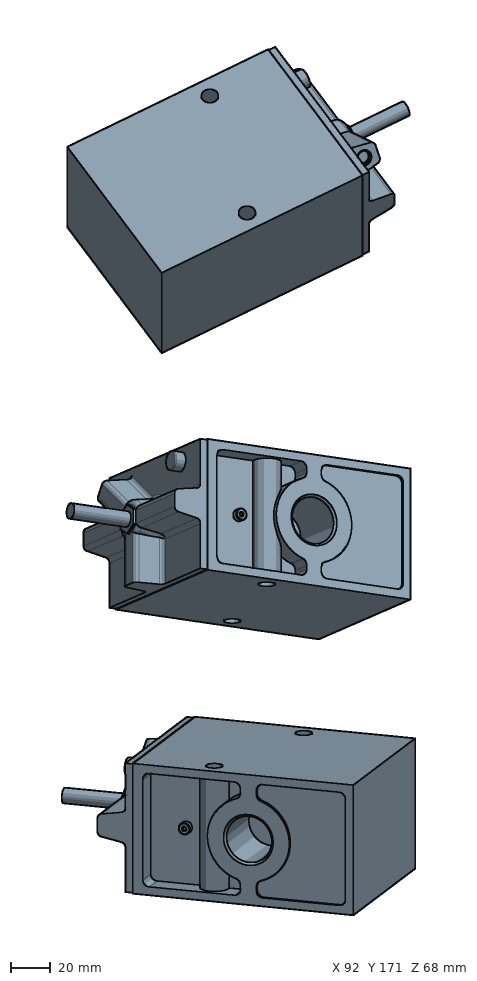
import cadquery as cq
import math

body_width = 92.0
body_height = 68.0
body_depth = 118.0
total_length = 171.0
side_x = -body_width / 2

cover_inset = 0.3
cover_width = body_width - 2 * cover_inset
cover_height = body_height - 2 * cover_inset
cover_thickness = 4.0
cover_back = body_depth + cover_thickness
rib_height = 15.0
rib_top = cover_back + rib_height
rib_base_half = 8.2
hub_base_radius = 12.7
rib_draft = 10.0
rib_fillet = 2.5
diagonal_angle = math.degrees(math.atan2(body_height, body_width))
diagonal_length = 36.3

rib_hole_diameter = 6.7
rib_hole_depth = 2.2
rib_hole_chamfer = 0.7
rib_hole_y = 129.1

cable_diameter = 8.0
gland_sides = 6
gland_flats = 13.2
gland_thickness = 1.2
screw_diameter = 10.0
screw_height = 6.0
screw_edge = 0.5
screw_offset = 26.0

mount_diameter = 8.5
mount_offset = 36.0
mount_rear_y = 77.8

bore_y = 56.1
bore_diameter = 24.1
bore_depth = 34.2
bore_chamfer = 1.2
ring_diameter = 43.8

recess_half_height = 29.5
recess_front = 4.3
recess_rear = 112.5
recess_corner = 3.5
rear_recess_depth = 11.6
front_recess_depth = 1.5
web_width = 8.5
column_diameter = 14.5

pin_diameter = 6.2
pin_height = 3.5
pin_chamfer = 0.3
pin_hole_diameter = 2.4
pin_hole_depth = 1.7
pin_y = 93.4


def cylinder(origin, direction, diameter, length):
    """Cylinder that starts at origin and runs along direction."""
    solid = cq.Solid.makeCylinder(diameter / 2, length, cq.Vector(*origin), cq.Vector(*direction))
    return cq.Workplane(solid)


def chamfered_hole(origin, direction, diameter, depth, chamfer):
    """Cutter for a blind hole whose rim widens by the chamfer."""
    radius = diameter / 2
    rim = cq.Solid.makeCone(radius + chamfer, radius, chamfer, cq.Vector(*origin), cq.Vector(*direction))
    return cylinder(origin, direction, diameter, depth).union(cq.Workplane(rim))


def recess(y_start, y_end, depth):
    """Rounded recess in the side face that leaves the ring and its web standing."""
    height = 2 * recess_half_height
    block = cq.Workplane("XY").box(depth, y_end - y_start, height)
    block = block.translate((side_x + depth / 2, (y_start + y_end) / 2, 0))
    ring = cylinder((side_x, bore_y, 0), (1, 0, 0), ring_diameter, depth)
    return block.cut(ring).edges("|X").fillet(recess_corner)


def column():
    """Round-nosed column in the rear recess, flat-sided back to the floor, around a mounting hole."""
    base = (-mount_offset, mount_rear_y, -body_height / 2)
    nose = cylinder(base, (0, 0, 1), column_diameter, body_height)
    shank = cq.Workplane("XY").box(column_diameter / 2, column_diameter, body_height)
    return nose.union(shank.translate((-mount_offset + column_diameter / 4, mount_rear_y, 0)))


corner_margin = 0.2


def rib_section(base_half):
    """Drafted rib section in the YZ plane with rounded top and foot corners, its foot sunk in the plate."""
    top_half = base_half - rib_height * math.tan(math.radians(rib_draft))
    foot_half = base_half + 2 * rib_fillet
    foot_y = cover_back - cover_thickness / 2
    upper = [(foot_y, foot_half), (cover_back, foot_half), (cover_back, base_half), (rib_top, top_half)]
    lower = [(y, -z) for y, z in reversed(upper)]
    outline = upper + lower
    section = cq.Sketch().polygon(outline + outline[:1])
    corners = cq.selectors.BoxSelector(
        (cover_back - corner_margin, -base_half - corner_margin, -corner_margin),
        (rib_top + corner_margin, base_half + corner_margin, corner_margin),
    )
    return section.vertices(corners).fillet(rib_fillet)


def rib(length, elevation):
    """Straight rib running outwards from the cable axis, elevation measured from +X towards +Z."""
    bar = cq.Workplane("YZ").placeSketch(rib_section(rib_base_half)).extrude(length)
    return bar.rotate((0, 0, 0), (0, 1, 0), -elevation)


def hub():
    """Conical hub around the cable axis that joins the ribs."""
    size = 4 * hub_base_radius
    profile = rib_section(hub_base_radius).reset()
    profile = profile.push([(cover_back, size / 2)]).rect(size, size, mode="i").reset()
    return cq.Workplane("YZ").placeSketch(profile).revolve(360, (0, 0, 0), (1, 0, 0))


def cover():
    """Rear plate with hub, three ribs out to its edges and one short diagonal rib."""
    plate = cq.Workplane("XY").box(cover_width, cover_thickness, cover_height)
    plate = plate.translate((0, body_depth + cover_thickness / 2, 0)).union(hub())
    for length, elevation in (
        (cover_width / 2, 0),
        (diagonal_length, diagonal_angle),
        (cover_width / 2, 180),
        (cover_height / 2, -90),
    ):
        plate = plate.union(rib(length, elevation))
    return plate


def diagonal_rib_hole():
    """Chamfered blind hole in the end face of the diagonal rib."""
    start = (diagonal_length, rib_hole_y, 0)
    hole = chamfered_hole(start, (-1, 0, 0), rib_hole_diameter, rib_hole_depth, rib_hole_chamfer)
    return hole.rotate((0, 0, 0), (0, 1, 0), -diagonal_angle)


def cable():
    """Cable leaving the hub through a hexagonal gland with corners at top and bottom."""
    corner_diameter = gland_flats / math.cos(math.pi / gland_sides)
    gland = cq.Workplane("XZ").polygon(gland_sides, corner_diameter).extrude(-gland_thickness)
    gland = gland.rotate((0, 0, 0), (0, 1, 0), 90).translate((0, rib_top, 0))
    return gland.union(cylinder((0, rib_top, 0), (0, 1, 0), cable_diameter, total_length - rib_top))


def screw():
    """Screw head in the upper left corner of the cover."""
    head = cylinder((-screw_offset, cover_back, screw_offset), (0, 1, 0), screw_diameter, screw_height)
    return head.edges(">Y").fillet(screw_edge)


def pin():
    """Hollow indicator pin standing on the floor of the rear recess."""
    floor_x = side_x + rear_recess_depth
    post = cylinder((floor_x, pin_y, 0), (-1, 0, 0), pin_diameter, pin_height)
    post = post.faces("<X").edges().chamfer(pin_chamfer)
    tip_x = floor_x - pin_height
    return post.cut(cylinder((tip_x, pin_y, 0), (1, 0, 0), pin_hole_diameter, pin_hole_depth))


body = cq.Workplane("XY").box(body_width, body_depth, body_height).translate((0, body_depth / 2, 0))

body = body.cut(recess(recess_front, bore_y - web_width / 2, front_recess_depth))
body = body.cut(recess(bore_y + web_width / 2, recess_rear, rear_recess_depth))
body = body.union(column())
for x, y in ((-mount_offset, mount_rear_y), (mount_offset, bore_y)):
    body = body.cut(cylinder((x, y, -body_height / 2), (0, 0, 1), mount_diameter, body_height))

bore = chamfered_hole((side_x, bore_y, 0), (1, 0, 0), bore_diameter, bore_depth, bore_chamfer)
body = body.cut(bore).union(pin())
body = body.union(cover()).cut(diagonal_rib_hole())
result = body.union(cable()).union(screw())